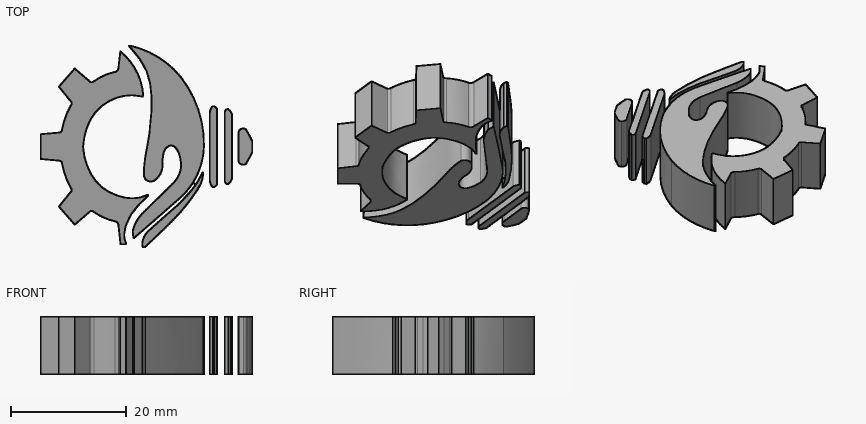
import cadquery as cq

THICKNESS = 10.0


def trace(start, moves):
    """Sketch a closed outline.

    Each move is a tuple of points that ends at the next node: one point gives
    a straight line, two give an arc through the first, more give a smooth curve.
    """
    sketch = cq.Workplane("XY").moveTo(*start)
    for move in moves:
        if len(move) == 1:
            sketch = sketch.lineTo(*move[0])
        elif len(move) == 2:
            sketch = sketch.threePointArc(*move)
        else:
            sketch = sketch.spline(move, includeCurrent=True)
    return sketch.close()


def prism(start, moves):
    """Extrude a closed outline to the full thickness."""
    return trace(start, moves).extrude(THICKNESS)


def mirrored_back(start, moves):
    """Return the moves that run back along the mirror image of a path in the X axis."""
    points = [start] + [point for move in moves for point in move]
    flipped = [(x, -y) for x, y in reversed(points)]
    back = []
    used = 1
    for move in reversed(moves):
        back.append(tuple(flipped[used:used + len(move)]))
        used += len(move)
    return back


TOOTH_TIP = (0, 2.15)

UPPER_RIM = [
    ((3.3, 2.45),),
    ((3.6, 2.65), (3.7, 3.0)),
    ((4.3, 5.15), (5.25, 7.2)),
    ((5.35, 7.6), (5.15, 7.92)),
    ((3.15, 10.37),),
    ((5.9, 13.53),),
    ((8.5, 11.3),),
    ((8.8, 11.15), (9.15, 11.3)),
    ((10.95, 12.3), (12.83, 12.95)),
    ((13.27, 13.15), (13.45, 13.65)),
]

UPPER_HORN = [
    ((13.8, 16.5),),
    ((16.5, 13.27), (17.78, 8.87)),
    ((17.67, 8.65),),
]

OPENING = [
    (
        (15.8, 8.87), (13.15, 8.45), (10.63, 7.05), (8.6, 4.62), (7.63, 1.85), (7.37, 0),
        (7.63, -1.85), (8.65, -4.6), (10.63, -7.05), (13.2, -8.45), (15.8, -8.95), (18.55, -8.32),
    ),
]

LOWER_HORN = [
    ((18.65, -8.47),),
    ((17.1, -9.97), (15.65, -11.8), (14.77, -13.65), (14.48, -15.2), (14.8, -16.7)),
    ((14.75, -16.95),),
    ((13.82, -16.95),),
    ((13.45, -13.65),),
]


def make_gear():
    lower_rim = mirrored_back(TOOTH_TIP, UPPER_RIM)
    return prism(TOOTH_TIP, UPPER_RIM + UPPER_HORN + OPENING + LOWER_HORN + lower_rim)


LEAF_TIP = (15.25, 17.45)

LEAF_BACK = [
    ((15.5, 17.5),),
    ((20.15, 15.6), (24.27, 12.05)),
    ((27.28, 6.53), (28.3, 0.07)),
    ((27.28, -4.55), (24.15, -8.87)),
    ((20.25, -12.3), (16.15, -15.85)),
]

LEAF_TAIL = [
    ((16.05, -15.8),),
    ((15.9, -14.65),),
    ((16.57, -12.95), (17.67, -11.5)),
    ((23.1, -6.15),),
    ((23.98, -4.75), (24.3, -3.0)),
]

LEAF_HOOK = [
    ((23.85, -0.95), (23.3, -0.15), (22.6, 0.2), (21.9, -0.1), (21.35, -0.95), (21.08, -2.53)),
    ((20.7, -4.75), (19.6, -5.95)),
    ((18.48, -5.9), (17.9, -5.15)),
]

LEAF_INSIDE = [
    (
        (17.9, -3.65), (18.25, -0.88), (18.77, 1.9), (19.05, 4.2), (19.2, 6.6), (19.17, 8.8),
        (18.9, 11.0), (18.33, 13.05), (17.12, 15.2), LEAF_TIP,
    ),
]

SLIVER_TIP = (28.05, -4.45)

SLIVER = [
    ((28.15, -4.62),),
    ((27.8, -6.3), (26.7, -8.18), (24.3, -11.25), (21.25, -14.37), (18.07, -17.4)),
    ((17.67, -17.45),),
    ((17.55, -16.8),),
    ((17.9, -15.6), (18.7, -14.55)),
    ((21.35, -12.2), (24.05, -9.82), (26.35, -7.25), SLIVER_TIP),
]

WEB_CENTRE = (26.65, -6.45)
WEB_LENGTH = 1.1
WEB_WIDTH = 0.07
WEB_HEIGHT = 0.2
WEB_ANGLE = -37


def make_leaf():
    blade = prism(LEAF_TIP, LEAF_BACK + LEAF_TAIL + LEAF_HOOK + LEAF_INSIDE)
    sliver = prism(SLIVER_TIP, SLIVER)
    web = (
        cq.Workplane("XY")
        .center(*WEB_CENTRE)
        .transformed(rotate=(0, 0, WEB_ANGLE))
        .rect(WEB_LENGTH, WEB_WIDTH)
        .extrude(WEB_HEIGHT)
    )
    return blade.union(web).union(sliver)


INNER_THREAD_SHOULDER = (29.25, 5.85)
INNER_THREAD_END = [
    ((29.4, 6.4), (29.75, 7.0)),
    ((30.1, 7.0),),
    ((30.57, 6.55),),
]

OUTER_THREAD_SHOULDER = (31.85, 6.05)
OUTER_THREAD_END = [
    ((32.08, 6.38), (32.45, 6.53)),
    ((32.92, 6.05),),
    ((33.15, 5.57),),
]

CAP_SHOULDER = (34.25, 2.2)
CAP_END = [
    ((34.45, 2.9), (35.05, 3.15)),
    ((35.4, 3.08), (35.67, 2.8)),
    ((36.22, 1.85),),
    ((36.65, 0.95),),
]


def make_symmetric_bar(shoulder, upper_end):
    right_x, right_y = upper_end[-1][-1]
    right_face = [((right_x, -right_y),)]
    return prism(shoulder, upper_end + right_face + mirrored_back(shoulder, upper_end))


gear = make_gear()
leaf = make_leaf()
threads = [
    make_symmetric_bar(shoulder, upper_end)
    for shoulder, upper_end in [
        (INNER_THREAD_SHOULDER, INNER_THREAD_END),
        (OUTER_THREAD_SHOULDER, OUTER_THREAD_END),
    ]
]
cap = make_symmetric_bar(CAP_SHOULDER, CAP_END)

result = cq.Compound.makeCompound(
    [gear.val(), *leaf.vals(), *[thread.val() for thread in threads], cap.val()]
)